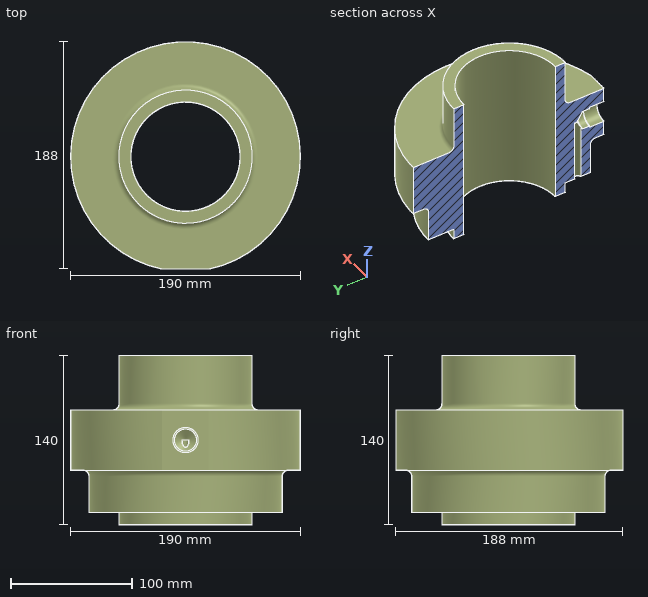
import cadquery as cq
import math

COLLAR_RADIUS = 95.0
LOWER_RADIUS = 80.0
NECK_RADIUS = 55.1
BORE_RADIUS = 45.0
ROOT_FILLET = 5.0

SHOULDER_Z = 10.0
COLLAR_BOTTOM_Z = 45.0
COLLAR_TOP_Z = 95.0
TOTAL_HEIGHT = 140.0

FLAT_WIDTH = 38.8
FLAT_DISTANCE = math.sqrt(COLLAR_RADIUS**2 - (FLAT_WIDTH / 2) ** 2)
PORT_Z = (COLLAR_BOTTOM_Z + COLLAR_TOP_Z) / 2
THREAD_RADIUS = 10.5
THREAD_DEPTH = 14.0
DRILL_RADIUS = 9.1
DRILL_TIP_ANGLE = 118.0
TIP_DISTANCE = 66.5

CHANNEL_RADIUS = 2.8
CHANNEL_DISTANCE = 67.3


def make_body():
    """Stepped sleeve with concave fillets above and below its collar."""
    lower_fillet_outer = LOWER_RADIUS + ROOT_FILLET
    neck_fillet_outer = NECK_RADIUS + ROOT_FILLET
    fillet_bulge = ROOT_FILLET * (1 - math.sqrt(0.5))
    profile = (
        cq.Workplane("XZ")
        .moveTo(BORE_RADIUS, 0)
        .lineTo(NECK_RADIUS, 0)
        .lineTo(NECK_RADIUS, SHOULDER_Z)
        .lineTo(LOWER_RADIUS, SHOULDER_Z)
        .lineTo(LOWER_RADIUS, COLLAR_BOTTOM_Z - ROOT_FILLET)
        .threePointArc(
            (LOWER_RADIUS + fillet_bulge, COLLAR_BOTTOM_Z - fillet_bulge),
            (lower_fillet_outer, COLLAR_BOTTOM_Z),
        )
        .lineTo(COLLAR_RADIUS, COLLAR_BOTTOM_Z)
        .lineTo(COLLAR_RADIUS, COLLAR_TOP_Z)
        .lineTo(neck_fillet_outer, COLLAR_TOP_Z)
        .threePointArc(
            (NECK_RADIUS + fillet_bulge, COLLAR_TOP_Z + fillet_bulge),
            (NECK_RADIUS, COLLAR_TOP_Z + ROOT_FILLET),
        )
        .lineTo(NECK_RADIUS, TOTAL_HEIGHT)
        .lineTo(BORE_RADIUS, TOTAL_HEIGHT)
        .close()
    )
    return profile.revolve(360, (0, 0, 0), (0, 1, 0))


def make_flat_cutter():
    """Block removing the collar rim beyond the flat."""
    return cq.Workplane("XY").box(
        2 * COLLAR_RADIUS, COLLAR_RADIUS, TOTAL_HEIGHT, centered=(True, False, False)
    ).translate((0, -FLAT_DISTANCE - COLLAR_RADIUS, 0))


def make_port_cutter():
    """Stepped threaded port ending in a conical drill tip."""
    tip_length = DRILL_RADIUS / math.tan(math.radians(DRILL_TIP_ANGLE / 2))
    step_y = -FLAT_DISTANCE + THREAD_DEPTH
    return (
        cq.Workplane("XY")
        .moveTo(0, -FLAT_DISTANCE)
        .lineTo(THREAD_RADIUS, -FLAT_DISTANCE)
        .lineTo(THREAD_RADIUS, step_y)
        .lineTo(DRILL_RADIUS, step_y)
        .lineTo(DRILL_RADIUS, -TIP_DISTANCE - tip_length)
        .lineTo(0, -TIP_DISTANCE)
        .close()
        .revolve(360, (0, 0, 0), (0, 1, 0))
        .translate((0, 0, PORT_Z))
    )


def make_channel_cutter():
    """Narrow hole from the bottom shoulder up to the port axis."""
    return (
        cq.Workplane("XY", origin=(0, -CHANNEL_DISTANCE, SHOULDER_Z))
        .circle(CHANNEL_RADIUS)
        .extrude(PORT_Z - SHOULDER_Z)
    )


result = (
    make_body()
    .cut(make_flat_cutter())
    .cut(make_port_cutter())
    .cut(make_channel_cutter())
)